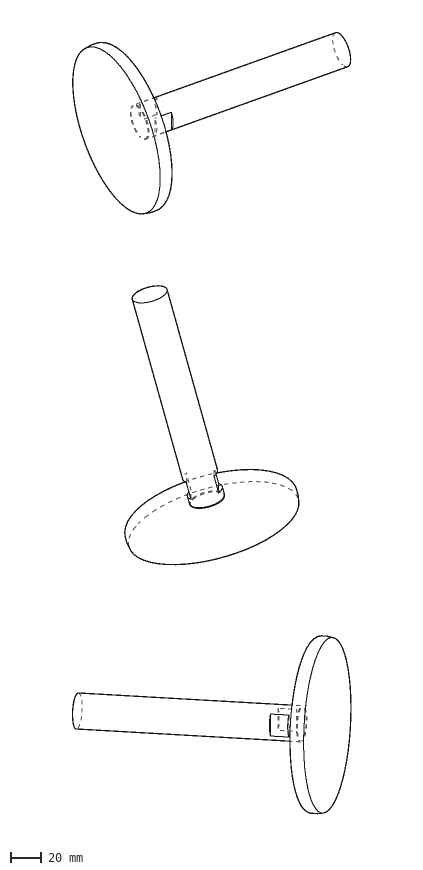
import cadquery as cq
import math

total_length = 172.0
stem_radius = 24.0 / 2
pad_radius = 118.0 / 2

face_radius = pad_radius - 0.7
taper_height = 4.1
rim_height = 7.0
shoulder_radius = 3.0
cone_height = 17.4
neck_radius = stem_radius - 0.3
neck_length = 0.5

flats_width = 19.0
flats_start = 23.9
flats_length = 12.5


def shoulder_point(angle):
    """Point on the shoulder rounding, at an angle measured from the radial direction."""
    center_x = pad_radius - shoulder_radius
    return (
        center_x + shoulder_radius * math.cos(angle),
        rim_height + shoulder_radius * math.sin(angle),
    )


def make_body():
    """Revolve the pad, neck and stem as one profile, with the cone tangent to the shoulder."""
    run = pad_radius - shoulder_radius - neck_radius
    rise = cone_height - rim_height
    tangent_angle = math.atan2(rise, -run) - math.acos(shoulder_radius / math.hypot(run, rise))
    return (
        cq.Workplane("XY")
        .lineTo(face_radius, 0)
        .lineTo(pad_radius, taper_height)
        .lineTo(pad_radius, rim_height)
        .threePointArc(shoulder_point(tangent_angle / 2), shoulder_point(tangent_angle))
        .lineTo(neck_radius, cone_height)
        .lineTo(neck_radius, cone_height + neck_length)
        .lineTo(stem_radius, cone_height + neck_length)
        .lineTo(stem_radius, total_length)
        .lineTo(0, total_length)
        .close()
        .revolve(360, (0, 0, 0), (0, 1, 0))
    )


def cut_flats(body):
    """Cut two opposite wrench flats facing -X and +X."""
    depth = stem_radius - flats_width / 2
    center_x = flats_width / 2 + depth / 2
    center_y = flats_start + flats_length / 2
    cutters = (
        cq.Workplane("XY")
        .pushPoints([(-center_x, center_y), (center_x, center_y)])
        .box(depth, flats_length, 2 * stem_radius)
    )
    return body.cut(cutters)


result = cut_flats(make_body())